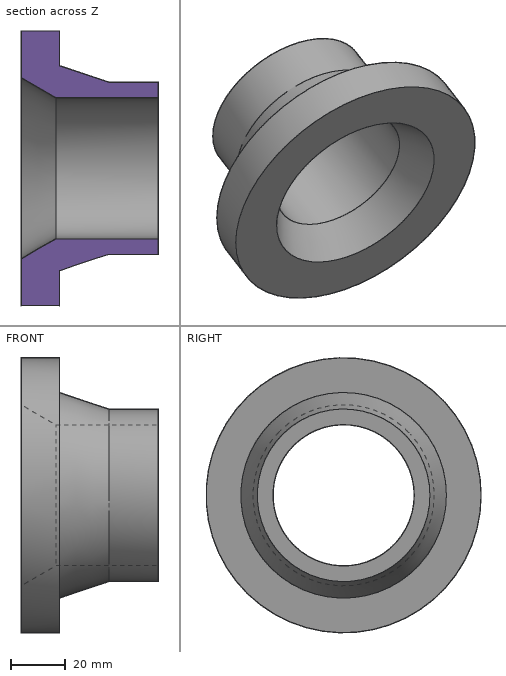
import cadquery as cq

total_length = 50.0
flange_thickness = 14.1
neck_end = 32.0
mouth_depth = 12.7

flange_radius = 100.4 / 2
neck_base_radius = 75.0 / 2
spigot_radius = 63.0 / 2
mouth_radius = 66.1 / 2
bore_radius = 51.4 / 2

half_section = (
    cq.Workplane("XY")
    .moveTo(0, mouth_radius)
    .lineTo(0, flange_radius)
    .lineTo(flange_thickness, flange_radius)
    .lineTo(flange_thickness, neck_base_radius)
    .lineTo(neck_end, spigot_radius)
    .lineTo(total_length, spigot_radius)
    .lineTo(total_length, bore_radius)
    .lineTo(mouth_depth, bore_radius)
    .close()
)

result = half_section.revolve(360, (0, 0, 0), (1, 0, 0))